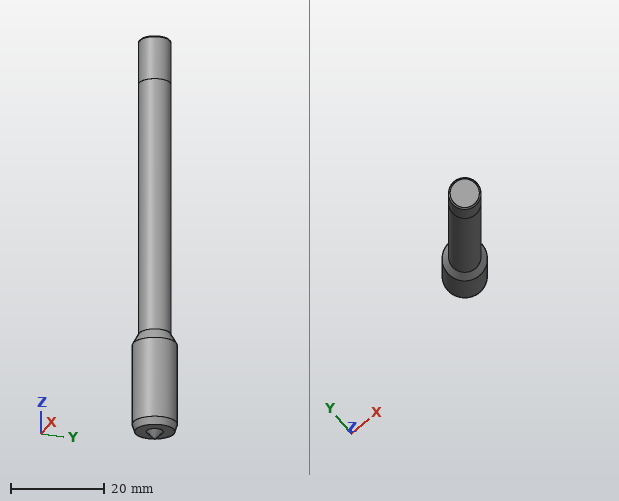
import cadquery as cq

total_length = 91.8
shaft_radius = 3.5
head_radius = 4.9

tip_height = 1.8
head_chamfer_height = 1.65
shoulder_bottom = 21.7
shoulder_top = 24.1

tip_radius = tip_height
head_chamfer_width = 0.55

cap_length = 10.0
cap_chamfer = 0.4
cap_bottom = total_length - cap_length


def make_stem():
    """Turned stem: conical point, chamfered head, tapered shoulder and plain shaft."""
    profile = [
        (0, 0),
        (tip_radius, tip_height),
        (head_radius - head_chamfer_width, tip_height),
        (head_radius, tip_height + head_chamfer_height),
        (head_radius, shoulder_bottom),
        (shaft_radius, shoulder_top),
        (shaft_radius, cap_bottom),
        (0, cap_bottom),
    ]
    return cq.Workplane("XZ").polyline(profile).close().revolve(360, (0, 0), (0, 1))


def make_cap():
    """Cylindrical end cap, flush with the shaft and chamfered at its free end."""
    return (
        cq.Workplane("XY", origin=(0, 0, cap_bottom))
        .circle(shaft_radius)
        .extrude(cap_length)
        .faces(">Z")
        .chamfer(cap_chamfer)
    )


stem = make_stem()
cap = make_cap()

result = cq.Compound.makeCompound([stem.val(), cap.val()])